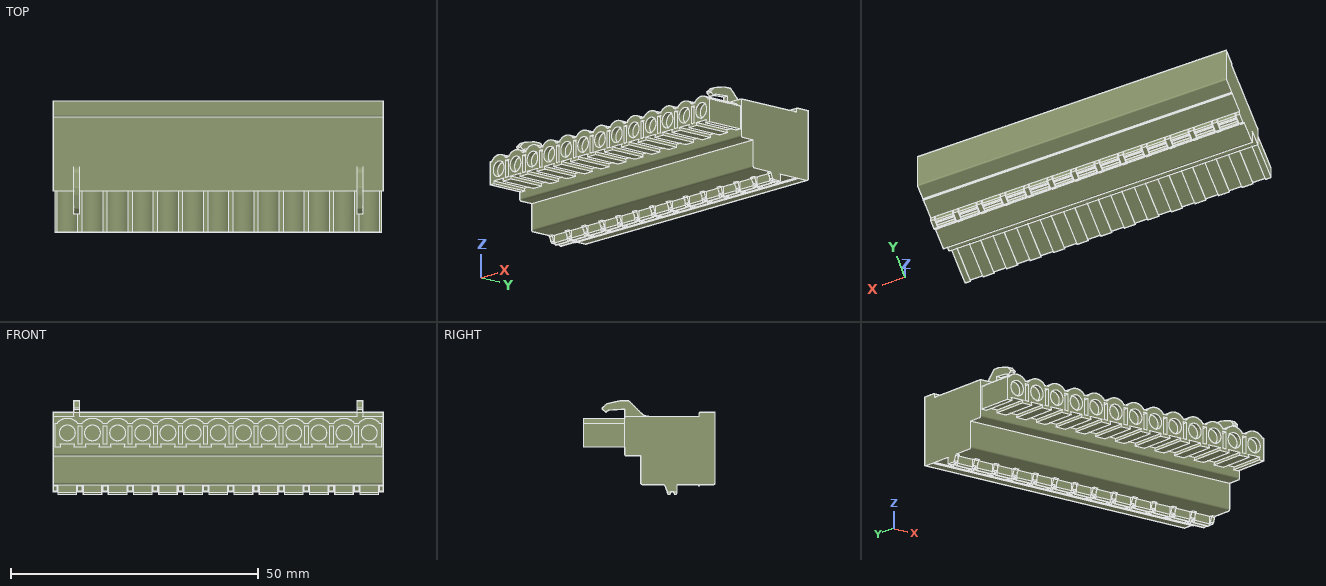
import cadquery as cq
import math


POLE_COUNT = 13
PITCH = 5.08
BODY_LENGTH = 66.66
ROW_LENGTH = POLE_COUNT * PITCH
POLE_CENTRES = [(i - (POLE_COUNT - 1) / 2) * PITCH for i in range(POLE_COUNT)]
POLE_BOUNDARIES = [(i - POLE_COUNT / 2) * PITCH for i in range(POLE_COUNT + 1)]

TOTAL_DEPTH = 26.6
UPPER_DEPTH = 18.27
LOWER_DEPTH = 15.05
BODY_TOP = 13.84
STEP_HEIGHT = 5.82
LEDGE_DEPTH = 3.26
LEDGE_TOP = 14.68
LEDGE_RADIUS = 0.3
BOTTOM_RADIUS = 0.4
LIP_WIDTH = 0.25
LIP_DROP = 0.2

SOCKET_LENGTH = TOTAL_DEPTH - UPPER_DEPTH
SOCKET_BOTTOM = 7.6
SOCKET_SHOULDER = 12.43
SOCKET_CROWN = 13.44
CROWN_WIDTH = 4.2
WIRE_HOLE_DIAMETER = 3.2
WIRE_HOLE_Z = 10.48
WIRE_HOLE_DEPTH = 1.2
SLOT_WIDTH = 0.8
SLOT_BOTTOM = 8.26
SLOT_TOP = 11.83
NOTCH_MOUTH_WIDTH = 2.66
NOTCH_TOP_WIDTH = 2.92
NOTCH_TOP = 8.22

CLIP_WIDTH = 1.2
CLIP_END_DISTANCE = 4.72
CLIP_HEEL_DEPTH = 14.28
CLIP_HEEL_RADIUS = 2.1
CLIP_TOP = 17.01
CLIP_CROWN_BACK = 17.45
CLIP_CROWN_FRONT = 19.1
CLIP_UNDERSIDE = 15.25
CLIP_EMBEDMENT = 0.5
CLIP_CORNER_RADIUS = 0.5
CLIP_BEND_RADIUS = 1.6

FOOT_WIDTH = 3.8
FOOT_BACK = 7.65
FOOT_FRONT = 9.68
FOOT_BOTTOM = -2.0
LEG_WIDTH = 0.75
LEG_TIP_WIDTH = 0.25
LEG_TAPER_HEIGHT = 0.4
BAR_WIDTH = 1.0
BAR_BOTTOM = -1.45
BAR_ROOT_FRONT = 10.4
BAR_FRONT_TOP = (10.15, -0.2)
BAR_FRONT_BOTTOM = (9.75, -1.25)
BAR_BOTTOM_FRONT = 9.5


def block(x_range, depth_range, z_range):
    """Box given by its limits; depth is measured forward from the back face."""
    x0, x1 = x_range
    d0, d1 = depth_range
    z0, z1 = z_range
    box = cq.Workplane("XY").box(x1 - x0, d1 - d0, z1 - z0, centered=False)
    return box.translate((x0, -d1, z0))


def centred_span(centre, width):
    return (centre - width / 2, centre + width / 2)


def side_prism(x_range, points):
    """Extrude a polygon of (depth, z) points along X."""
    x0, x1 = x_range
    profile = cq.Workplane("YZ", origin=(x0, 0, 0))
    profile = profile.polyline([(-depth, z) for depth, z in points]).close()
    return profile.extrude(x1 - x0)


def make_housing():
    housing = side_prism(centred_span(0, BODY_LENGTH), [
        (0, 0),
        (0, LEDGE_TOP),
        (LEDGE_DEPTH, LEDGE_TOP),
        (LEDGE_DEPTH, BODY_TOP),
        (UPPER_DEPTH, BODY_TOP),
        (UPPER_DEPTH, STEP_HEIGHT),
        (LOWER_DEPTH, STEP_HEIGHT),
        (LOWER_DEPTH, 0),
    ])

    def long_edge(depth, z):
        return cq.selectors.NearestToPointSelector((0, -depth, z))

    housing = housing.edges(long_edge(LEDGE_DEPTH, LEDGE_TOP)).fillet(LEDGE_RADIUS)
    for depth, z in [(0, 0), (LOWER_DEPTH, 0), (UPPER_DEPTH, STEP_HEIGHT)]:
        housing = housing.edges(long_edge(depth, z)).fillet(BOTTOM_RADIUS)
    lip = block(
        centred_span(0, BODY_LENGTH),
        centred_span(LEDGE_DEPTH, LIP_WIDTH),
        (-LIP_DROP, BOTTOM_RADIUS),
    )
    return housing.union(lip)


def make_socket_row():
    """Joined sockets, each with a rounded crown, a blind wire hole and a dovetail notch below."""
    half_row = ROW_LENGTH / 2
    outline = cq.Workplane("XZ", origin=(0, -UPPER_DEPTH, 0))
    outline = outline.moveTo(-half_row, SOCKET_BOTTOM).lineTo(-half_row, SOCKET_SHOULDER)
    for x in POLE_CENTRES:
        left, right = centred_span(x, CROWN_WIDTH)
        outline = outline.lineTo(left, SOCKET_SHOULDER)
        outline = outline.threePointArc((x, SOCKET_CROWN), (right, SOCKET_SHOULDER))
    outline = outline.lineTo(half_row, SOCKET_SHOULDER).lineTo(half_row, SOCKET_BOTTOM)
    row = outline.close().extrude(SOCKET_LENGTH)

    hole_floor_depth = TOTAL_DEPTH - WIRE_HOLE_DEPTH
    holes = cq.Workplane("XZ", origin=(0, -hole_floor_depth, 0))
    holes = holes.pushPoints([(x, WIRE_HOLE_Z) for x in POLE_CENTRES])
    row = row.cut(holes.circle(WIRE_HOLE_DIAMETER / 2).extrude(WIRE_HOLE_DEPTH))

    depth_range = (UPPER_DEPTH, TOTAL_DEPTH)
    for x in POLE_CENTRES:
        mouth_left, mouth_right = centred_span(x, NOTCH_MOUTH_WIDTH)
        top_left, top_right = centred_span(x, NOTCH_TOP_WIDTH)
        notch = cq.Workplane("XZ", origin=(0, -UPPER_DEPTH, 0)).polyline([
            (mouth_left, SOCKET_BOTTOM),
            (top_left, NOTCH_TOP),
            (top_right, NOTCH_TOP),
            (mouth_right, SOCKET_BOTTOM),
        ])
        row = row.cut(notch.close().extrude(SOCKET_LENGTH))
    for x in POLE_BOUNDARIES[1:-1]:
        slot_z = (SLOT_BOTTOM, SLOT_TOP)
        row = row.cut(block(centred_span(x, SLOT_WIDTH), depth_range, slot_z))
    return row


def make_clip(x):
    """Latch hook rising from the front edge of the housing top."""
    crown_back = (CLIP_CROWN_BACK, CLIP_TOP)
    crown_front = (CLIP_CROWN_FRONT, CLIP_TOP)
    nose_top = (21.85, 16.4)
    nose_points = [(22.87, 15.47), (22.75, 15.2)]
    barb_points = [(22.05, 14.65), (21.5, 15.05)]

    slope = math.atan2(CLIP_TOP - BODY_TOP, CLIP_CROWN_BACK - CLIP_HEEL_DEPTH)
    heel_tangent = CLIP_HEEL_RADIUS * math.tan(slope / 2)
    heel_start = CLIP_HEEL_DEPTH - heel_tangent
    heel_end_depth = CLIP_HEEL_DEPTH + heel_tangent * math.cos(slope)
    heel_end_z = BODY_TOP + heel_tangent * math.sin(slope)
    heel_middle_depth = heel_start + CLIP_HEEL_RADIUS * math.sin(slope / 2)
    heel_middle_z = BODY_TOP + CLIP_HEEL_RADIUS * (1 - math.cos(slope / 2))

    profile = cq.Workplane("YZ", origin=(x - CLIP_WIDTH / 2, 0, 0))
    profile = profile.moveTo(-heel_start, BODY_TOP)
    profile = profile.threePointArc(
        (-heel_middle_depth, heel_middle_z),
        (-heel_end_depth, heel_end_z),
    )
    for depth, z in [crown_back, crown_front, nose_top] + nose_points + barb_points:
        profile = profile.lineTo(-depth, z)
    profile = profile.lineTo(-UPPER_DEPTH, CLIP_UNDERSIDE)

    neck_bottom = BODY_TOP - CLIP_EMBEDMENT
    profile = profile.lineTo(-UPPER_DEPTH, neck_bottom).lineTo(-heel_start, neck_bottom)
    clip = profile.close().extrude(CLIP_WIDTH)

    for (depth, z), radius in [
        (crown_back, CLIP_CORNER_RADIUS),
        (crown_front, CLIP_BEND_RADIUS),
        (nose_top, CLIP_CORNER_RADIUS),
    ]:
        corner = cq.selectors.NearestToPointSelector((x, -depth, z))
        clip = clip.edges(corner).fillet(radius)
    return clip


def make_foot(x):
    """Foot ending in two legs that taper to narrow tips."""
    taper_top = FOOT_BOTTOM + LEG_TAPER_HEIGHT
    tip_inset = (LEG_WIDTH - LEG_TIP_WIDTH) / 2
    back_leg_inner = FOOT_BACK + LEG_WIDTH
    front_leg_inner = FOOT_FRONT - LEG_WIDTH
    return side_prism(centred_span(x, FOOT_WIDTH), [
        (FOOT_BACK, 0),
        (FOOT_BACK, taper_top),
        (FOOT_BACK + tip_inset, FOOT_BOTTOM),
        (back_leg_inner - tip_inset, FOOT_BOTTOM),
        (back_leg_inner, taper_top),
        (back_leg_inner, BAR_BOTTOM),
        (front_leg_inner, BAR_BOTTOM),
        (front_leg_inner, taper_top),
        (front_leg_inner + tip_inset, FOOT_BOTTOM),
        (FOOT_FRONT - tip_inset, FOOT_BOTTOM),
        (FOOT_FRONT, taper_top),
        (FOOT_FRONT, 0),
    ])


def make_bar(x):
    """Bar at a pole boundary with a sloping, edge-bevelled front, kept within the housing ends."""
    left, right = centred_span(x, BAR_WIDTH)
    x_range = (max(left, -BODY_LENGTH / 2), min(right, BODY_LENGTH / 2))
    return side_prism(x_range, [
        (FOOT_BACK, 0),
        (FOOT_BACK, BAR_BOTTOM),
        (BAR_BOTTOM_FRONT, BAR_BOTTOM),
        BAR_FRONT_BOTTOM,
        BAR_FRONT_TOP,
        (BAR_ROOT_FRONT, 0),
    ])


result = make_housing().union(make_socket_row())
clip_offset = BODY_LENGTH / 2 - CLIP_END_DISTANCE
for clip_x in (-clip_offset, clip_offset):
    result = result.union(make_clip(clip_x))
for foot_x in POLE_CENTRES:
    result = result.union(make_foot(foot_x))
for bar_x in POLE_BOUNDARIES:
    result = result.union(make_bar(bar_x))